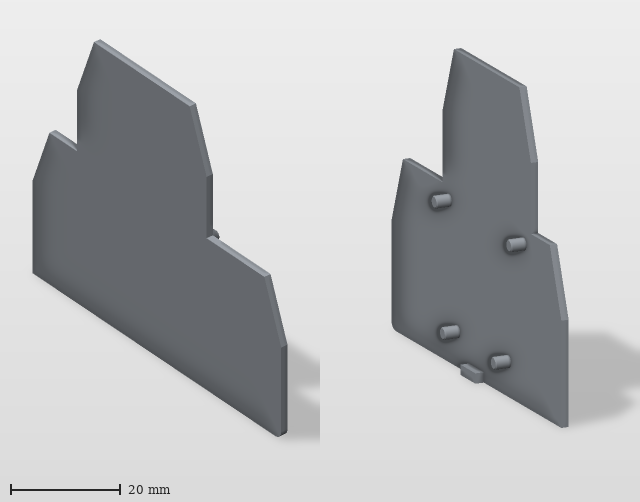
import cadquery as cq

width = 70.3
height = 60.05
thickness = 1.5
base_height = 33.45
tower_left = 12.6
tower_right = 49.2
shoulder_run = 4.8
shoulder_drop = 13.1
corner_radius = 1.75

total_depth = 4.5
pin_diameter = 2.4
pin_chamfer = 0.2
upper_pin_z = 30.8
lower_pin_z = 6.75
pin_centers = [
    (15.6, upper_pin_z),
    (46.5, upper_pin_z),
    (22.0, lower_pin_z),
    (43.0, lower_pin_z),
]

foot_width = 6.2
foot_depth = 1.7
foot_height = 2.0


def make_plate():
    """Stepped plate with its front face on Y = 0 and one rounded bottom corner."""
    outline = [
        (0, 0),
        (width, 0),
        (width, base_height - shoulder_drop),
        (width - shoulder_run, base_height),
        (tower_right, base_height),
        (tower_right, height - shoulder_drop),
        (tower_right - shoulder_run, height),
        (tower_left + shoulder_run, height),
        (tower_left, height - shoulder_drop),
        (tower_left, base_height),
        (shoulder_run, base_height),
        (0, base_height - shoulder_drop),
    ]
    plate = cq.Workplane("XZ").polyline(outline).close().extrude(-thickness)
    return plate.edges("|Y and >X").edges("<Z").fillet(corner_radius)


def make_pin(x, z):
    """Pin from the plate's front face plane to the full depth, chamfered at its tip."""
    pin = cq.Workplane("XZ").center(x, z).circle(pin_diameter / 2).extrude(-total_depth)
    return pin.faces(">Y").chamfer(pin_chamfer)


def make_foot():
    """Block centred on the plate's width."""
    foot = cq.Workplane("XY").box(
        foot_width, thickness + foot_depth, foot_height, centered=(True, False, False)
    )
    return foot.translate((width / 2, 0, 0))


result = make_plate().union(make_foot())
for pin_x, pin_z in pin_centers:
    result = result.union(make_pin(pin_x, pin_z))